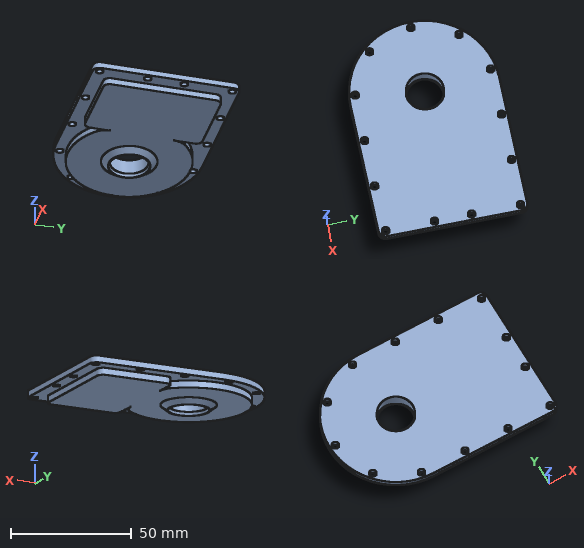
import cadquery as cq
import math

total_length = 91.5
flange_width = 63.1
total_height = 8.3
flange_thickness = 3.0
flange_corner_radius = 3.0
flange_radius = flange_width / 2
flange_end_x = total_length - flange_radius

pad_thickness = 3.0
round_pad_radius = 26.4
round_pad_end_x = 20.1
round_pad_blend_radius = 8.0
square_pad_start_x = round_pad_end_x
square_pad_end_x = 53.7
square_pad_width = 50.5
square_pad_corner_radius = 2.7

boss_top_radius = 11.7
boss_bottom_radius = 8.8
bore_diameter = 15.9
bore_flare_depth = 1.6
bore_flare_width = 0.6

screw_diameter = 3.0
screw_arc_radius = 29.0
screw_arc_step = 40.8
side_screw_xs = (16.4, 37.0)
end_screw_x = 57.4
corner_screw_y = 28.6
end_screw_y = 7.9

pad_top_z = -flange_thickness
boss_top_z = pad_top_z - pad_thickness
boss_height = total_height - flange_thickness - pad_thickness


def make_flange():
    """Plate with one semicircular end and two rounded corners."""
    return (
        cq.Workplane("XY")
        .moveTo(0, flange_radius)
        .threePointArc((-flange_radius, 0), (0, -flange_radius))
        .lineTo(flange_end_x, -flange_radius)
        .lineTo(flange_end_x, flange_radius)
        .close()
        .extrude(-flange_thickness)
        .edges("|Z and >X")
        .fillet(flange_corner_radius)
    )


def make_round_pad():
    """Round pad ending in a flat wall that blends tangentially into the rim."""
    blend_center_x = round_pad_end_x - round_pad_blend_radius
    blend_center_distance = round_pad_radius - round_pad_blend_radius
    blend_center_y = math.sqrt(blend_center_distance**2 - blend_center_x**2)
    rim_angle = math.atan2(blend_center_y, blend_center_x)
    rim_x = round_pad_radius * math.cos(rim_angle)
    rim_y = round_pad_radius * math.sin(rim_angle)
    blend_mid_x = blend_center_x + round_pad_blend_radius * math.cos(rim_angle / 2)
    blend_mid_y = blend_center_y + round_pad_blend_radius * math.sin(rim_angle / 2)
    return (
        cq.Workplane("XY", origin=(0, 0, pad_top_z))
        .moveTo(rim_x, rim_y)
        .threePointArc((-round_pad_radius, 0), (rim_x, -rim_y))
        .threePointArc((blend_mid_x, -blend_mid_y), (round_pad_end_x, -blend_center_y))
        .lineTo(round_pad_end_x, blend_center_y)
        .threePointArc((blend_mid_x, blend_mid_y), (rim_x, rim_y))
        .close()
        .extrude(-pad_thickness)
    )


def make_square_pad():
    """Rectangular pad with rounded corners."""
    pad_length = square_pad_end_x - square_pad_start_x
    pad_center_x = (square_pad_start_x + square_pad_end_x) / 2
    return (
        cq.Workplane("XY", origin=(pad_center_x, 0, pad_top_z))
        .rect(pad_length, square_pad_width)
        .extrude(-pad_thickness)
        .edges("|Z")
        .fillet(square_pad_corner_radius)
    )


def make_boss():
    """Cone frustum narrowing downwards."""
    frustum = cq.Solid.makeCone(
        boss_top_radius,
        boss_bottom_radius,
        boss_height,
        pnt=cq.Vector(0, 0, boss_top_z),
        dir=cq.Vector(0, 0, -1),
    )
    return cq.Workplane(obj=frustum)


def make_bore():
    """Through bore, opened by a conical flare at its lower end."""
    bore_radius = bore_diameter / 2
    bore = cq.Workplane("XY").circle(bore_radius).extrude(-total_height)
    flare = cq.Solid.makeCone(
        bore_radius + bore_flare_width,
        bore_radius,
        bore_flare_depth,
        pnt=cq.Vector(0, 0, -total_height),
    )
    return bore.union(cq.Workplane(obj=flare))


def screw_positions():
    """Centres around the rounded end, along the sides and along the flat end."""
    positions = []
    for step in range(-2, 3):
        angle = math.radians(180 + step * screw_arc_step)
        positions.append((screw_arc_radius * math.cos(angle), screw_arc_radius * math.sin(angle)))
    for side in (-1, 1):
        for x in side_screw_xs:
            positions.append((x, side * screw_arc_radius))
        for y in (end_screw_y, corner_screw_y):
            positions.append((end_screw_x, side * y))
    return positions


screw_holes = (
    cq.Workplane("XY")
    .pushPoints(screw_positions())
    .circle(screw_diameter / 2)
    .extrude(-flange_thickness)
)

result = (
    make_flange()
    .union(make_round_pad())
    .union(make_square_pad())
    .union(make_boss())
    .cut(make_bore())
    .cut(screw_holes)
)